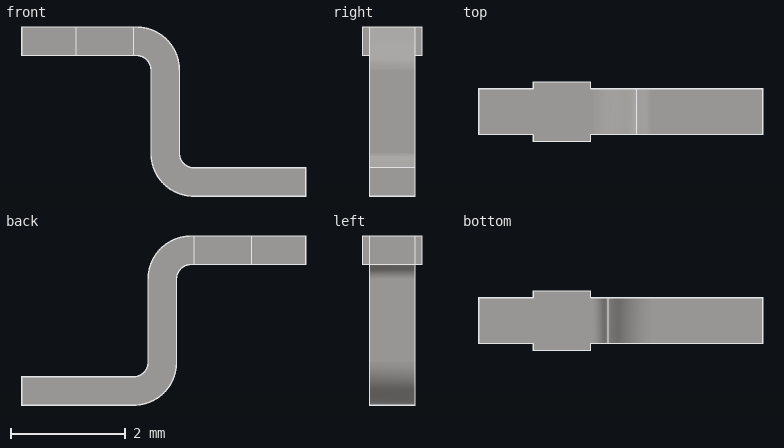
import cadquery as cq

length = 4.95
height = 2.95
thickness = 0.5
strip_width = 0.8
shoulder_width = 1.04
shoulder_start = 0.95
shoulder_length = 1.0
upper_length = 2.0
inner_radius = 0.25

outer_radius = inner_radius + thickness
leg_right = upper_length + outer_radius
leg_left = leg_right - thickness
lower_start = leg_left + outer_radius
upper_bend_z = height - outer_radius
lower_bend_z = outer_radius


def make_strip():
    """Z-shaped bent strip, centred on the XZ plane."""
    profile = (
        cq.Workplane("XZ")
        .moveTo(0, height)
        .lineTo(upper_length, height)
        .radiusArc((leg_right, upper_bend_z), outer_radius)
        .lineTo(leg_right, lower_bend_z)
        .radiusArc((lower_start, thickness), -inner_radius)
        .lineTo(length, thickness)
        .lineTo(length, 0)
        .lineTo(lower_start, 0)
        .radiusArc((leg_left, lower_bend_z), outer_radius)
        .lineTo(leg_left, upper_bend_z)
        .radiusArc((upper_length, height - thickness), -inner_radius)
        .lineTo(0, height - thickness)
        .close()
    )
    return profile.extrude(strip_width / 2, both=True)


def make_shoulders():
    """Block that widens the upper arm equally on both sides."""
    block = cq.Workplane("XY").box(
        shoulder_length, shoulder_width, thickness, centered=(False, True, False)
    )
    return block.translate((shoulder_start, 0, height - thickness))


result = make_strip().union(make_shoulders())